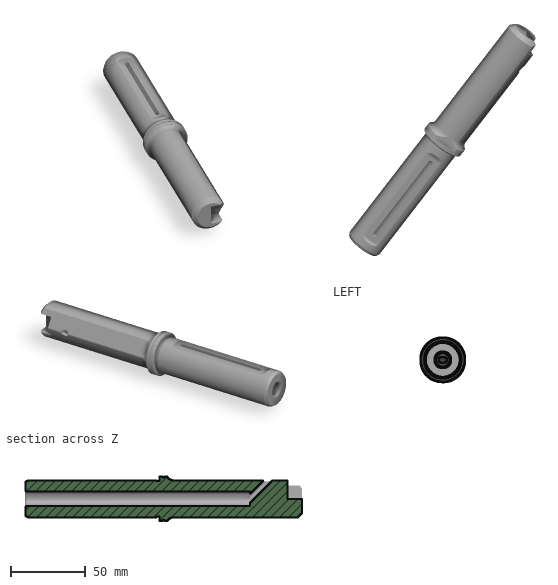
import cadquery as cq
import math

length = 185.0
body_diameter = 25.0
body_radius = body_diameter / 2
collar_radius = 15.0

front_chamfer_length = 2.0
front_chamfer_depth = 1.1
rear_chamfer = 3.0

relief_start = 87.5
relief_depth = 0.5

collar_start = 89.5
collar_end = 95.0
collar_middle = (collar_start + collar_end) / 2
ring_chamfer = 0.4
ring_gap_width = 0.7
ring_gap_depth = 0.5
shoulder_radius = 14.5
shoulder_sweep_radius = 5.5
shoulder_end = 98.8

width_across_flats = 22.0
flat_distance = width_across_flats / 2
runout_radius = 3.7
front_flat_start = 9.6
front_flat_end = 79.7
rear_flat_start = 99.7
rear_flat_tilt = 30.0

groove_start = 12.4
groove_end = 77.5
groove_width = 3.0

bore_radius = 4.6
bore_chamfer = 1.0
outlet_radius = 2.0
outlet_x = 162.5
bore_depth = outlet_x - body_radius

drive_slot_start = 175.2
drive_slot_width = 13.9

overlap = 1.8


def shaft_blank():
    """Revolved outline of the shaft, its collar and its shoulder."""
    gap_start = collar_middle - ring_gap_width / 2
    gap_end = collar_middle + ring_gap_width / 2
    ring_edge_radius = collar_radius - ring_chamfer
    gap_radius = collar_radius - ring_gap_depth
    relief_radius = body_radius - relief_depth
    outline = (
        cq.Workplane("XY")
        .moveTo(0, 0)
        .lineTo(0, body_radius - front_chamfer_depth)
        .lineTo(front_chamfer_length, body_radius)
        .lineTo(relief_start, body_radius)
        .lineTo(relief_start + relief_depth, relief_radius)
        .lineTo(collar_start, relief_radius)
        .lineTo(collar_start, ring_edge_radius)
        .lineTo(collar_start + ring_chamfer, collar_radius)
        .lineTo(gap_start, collar_radius)
        .lineTo(gap_start, gap_radius)
        .lineTo(gap_end, gap_radius)
        .lineTo(gap_end, collar_radius)
        .lineTo(collar_end - ring_chamfer, collar_radius)
        .lineTo(collar_end, ring_edge_radius)
        .lineTo(collar_end, shoulder_radius)
        .radiusArc((shoulder_end, body_radius), -shoulder_sweep_radius)
        .lineTo(length - rear_chamfer, body_radius)
        .lineTo(length, body_radius - rear_chamfer)
        .lineTo(length, 0)
        .close()
    )
    return outline.revolve(360, (0, 0, 0), (1, 0, 0))


def flat_cutter(start, end, angle):
    """Cutter for one flat whose normal is turned from +Z about the X axis."""
    runout_top = flat_distance + runout_radius
    cutter = (
        cq.Workplane("XZ")
        .moveTo(start, flat_distance)
        .lineTo(end, flat_distance)
        .radiusArc((end + runout_radius, runout_top), -runout_radius)
        .lineTo(start - runout_radius, runout_top)
        .radiusArc((start, flat_distance), -runout_radius)
        .close()
        .extrude(collar_radius, both=True)
    )
    return cutter.rotate((0, 0, 0), (1, 0, 0), angle)


def ball_groove(side):
    """Round-bottomed groove with ball ends, centred on the flat at side * Z."""
    groove_radius = groove_width / 2
    first_ball = groove_start + groove_radius
    last_ball = groove_end - groove_radius
    half_outline = (
        cq.Workplane("XY")
        .moveTo(groove_start, 0)
        .radiusArc((first_ball, groove_radius), groove_radius)
        .lineTo(last_ball, groove_radius)
        .radiusArc((groove_end, 0), groove_radius)
        .close()
    )
    capsule = half_outline.revolve(360, (0, 0, 0), (1, 0, 0))
    return capsule.translate((0, 0, side * flat_distance))


def bore():
    """Blind axial bore with a chamfered mouth on the front face."""
    outline = (
        cq.Workplane("XY")
        .moveTo(0, 0)
        .lineTo(0, bore_radius + bore_chamfer)
        .lineTo(bore_chamfer, bore_radius)
        .lineTo(bore_depth, bore_radius)
        .lineTo(bore_depth, 0)
        .close()
    )
    return outline.revolve(360, (0, 0, 0), (1, 0, 0))


def slanted_outlet():
    """45 degree hole from the middle of the bore floor out through the +Y side."""
    axis = cq.Vector(1, 1, 0).normalized()
    floor_centre = cq.Vector(bore_depth, 0, 0)
    start = floor_centre - axis * outlet_radius
    reach = outlet_radius + math.sqrt(2) * (body_radius + overlap)
    return cq.Workplane(cq.Solid.makeCylinder(outlet_radius, reach, start, axis))


def drive_slot():
    """Slot from the axis out through the +Y side, open at the rear end."""
    return cq.Workplane("XY").box(
        length - drive_slot_start + overlap,
        body_radius + overlap,
        drive_slot_width,
        centered=(False, False, True),
    ).translate((drive_slot_start, 0, 0))


def collar_underside():
    """Block that trims the rear ring and shoulder level with the body below."""
    return cq.Workplane("XY").box(
        shoulder_end - collar_middle,
        2 * collar_radius,
        collar_radius,
        centered=(False, True, False),
    ).translate((collar_middle, 0, -body_radius - collar_radius))


result = shaft_blank()

for angle in (0, 180):
    result = result.cut(flat_cutter(front_flat_start, front_flat_end, angle))

for side in (1, -1):
    result = result.cut(ball_groove(side))

for tilt in (rear_flat_tilt, -rear_flat_tilt):
    result = result.cut(flat_cutter(rear_flat_start, length + overlap, tilt - 90))

result = result.cut(bore())
result = result.cut(slanted_outlet())
result = result.cut(drive_slot())
result = result.cut(collar_underside())